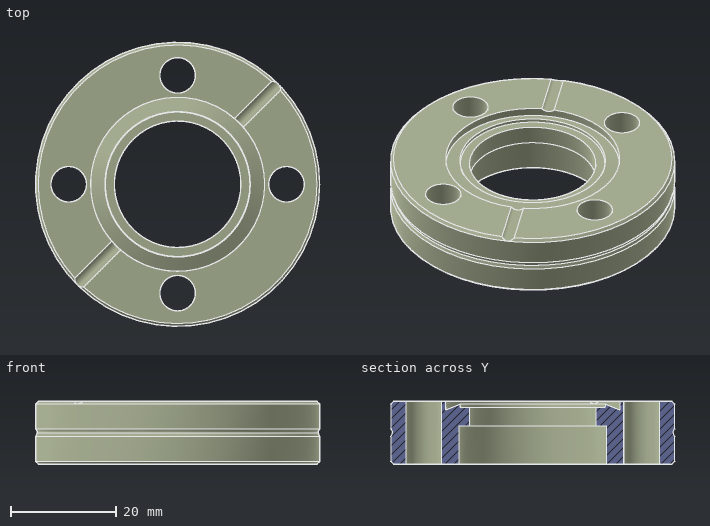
import cadquery as cq
import math

outer_radius = 27.0
height = 12.0
edge_chamfer = 0.55

bore_radius = 12.0
socket_radius = 14.0
socket_depth = 7.25

recess_radius = 16.5
recess_depth = 1.6
knife_outer_radius = 13.8
knife_inner_radius = 13.7
knife_depth = 0.55
inner_floor_depth = 1.2

groove_top = height - 5.25
groove_root = height - 6.05
groove_bottom = height - 6.7
groove_depth = 0.25
groove_arc_bulge = 0.08

bolt_count = 4
bolt_circle_radius = 20.7
bolt_hole_diameter = 6.7

channel_radius = 1.6
channel_depth = 0.515
channel_angle = 45.0


def make_body():
    """Revolve the whole cross-section, listed as (radius, height) points."""
    groove_middle = (groove_top + groove_root) / 2
    groove_root_radius = outer_radius - groove_depth
    arc_middle_radius = outer_radius - groove_depth / 2 - groove_arc_bulge
    profile = (
        cq.Workplane("XZ")
        .moveTo(socket_radius, 0)
        .lineTo(outer_radius - edge_chamfer, 0)
        .lineTo(outer_radius, edge_chamfer)
        .lineTo(outer_radius, groove_bottom)
        .lineTo(groove_root_radius, groove_root)
        .threePointArc((arc_middle_radius, groove_middle), (outer_radius, groove_top))
        .lineTo(outer_radius, height - edge_chamfer)
        .lineTo(outer_radius - edge_chamfer, height)
        .lineTo(recess_radius, height)
        .lineTo(recess_radius, height - recess_depth)
        .lineTo(knife_outer_radius, height - knife_depth)
        .lineTo(knife_inner_radius, height - inner_floor_depth)
        .lineTo(bore_radius, height - inner_floor_depth)
        .lineTo(bore_radius, socket_depth)
        .lineTo(socket_radius, socket_depth)
        .close()
    )
    return profile.revolve(360, (0, 0), (0, 1))


def make_bolt_holes():
    return (
        cq.Workplane("XY")
        .polarArray(bolt_circle_radius, 0, 360, bolt_count)
        .circle(bolt_hole_diameter / 2)
        .extrude(height)
    )


def make_leak_channel():
    """Two opposite channels running from the gasket recess out through the rim."""
    angle = math.radians(channel_angle)
    direction = cq.Vector(math.cos(angle), math.sin(angle), 0)
    start = direction * -outer_radius + cq.Vector(0, 0, height - channel_depth + channel_radius)
    rod = cq.Solid.makeCylinder(channel_radius, 2 * outer_radius, start, direction)
    recess_core = cq.Workplane("XY").circle(recess_radius).extrude(2 * height)
    return cq.Workplane(rod).cut(recess_core)


result = make_body().cut(make_bolt_holes()).cut(make_leak_channel())